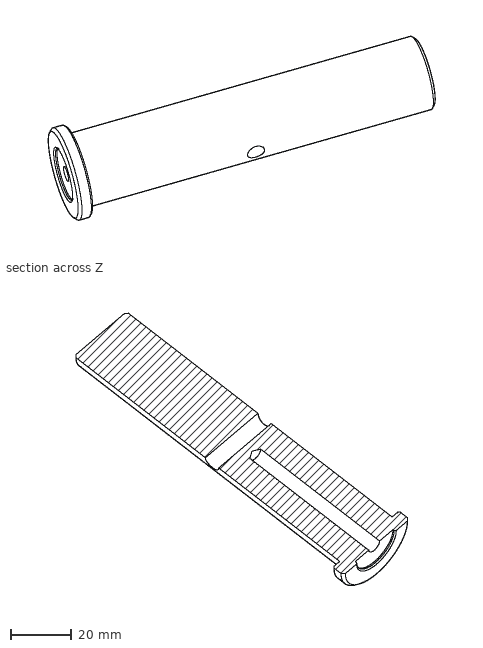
import cadquery as cq
import math

length = 127.0
head_diameter = 32.0
head_thickness = 5.0
shank_diameter = 25.4
head_front_chamfer = 1.0
head_back_chamfer = 0.6
shank_end_chamfer = 1.0

recess_diameter = 18.0
recess_mouth_chamfer = 0.5
recess_depth = 1.0

axial_hole_diameter = 5.1
axial_hole_end = 57.2
drill_point_angle = 118.0
cross_hole_diameter = 6.0

head_face = -length / 2
shank_end = length / 2


def revolve_about_y(profile):
    """Turn a closed half profile in the XY plane around the Y axis."""
    return cq.Workplane("XY").polyline(profile).close().revolve(360, (0, 0, 0), (0, 1, 0))


def make_body():
    """Chamfered head and shank."""
    head_radius = head_diameter / 2
    shank_radius = shank_diameter / 2
    head_back = head_face + head_thickness
    return revolve_about_y([
        (0, head_face),
        (head_radius - head_front_chamfer, head_face),
        (head_radius, head_face + head_front_chamfer),
        (head_radius, head_back - head_back_chamfer),
        (head_radius - head_back_chamfer, head_back),
        (shank_radius, head_back),
        (shank_radius, shank_end - shank_end_chamfer),
        (shank_radius - shank_end_chamfer, shank_end),
        (0, shank_end),
    ])


def make_recess():
    """Cutter for the chamfered recess in the head face."""
    recess_radius = recess_diameter / 2
    recess_floor = head_face + recess_depth
    return revolve_about_y([
        (0, head_face),
        (recess_radius + recess_mouth_chamfer, head_face),
        (recess_radius, head_face + recess_mouth_chamfer),
        (recess_radius, recess_floor),
        (0, recess_floor),
    ])


def make_axial_hole():
    """Cutter for the blind hole with a conical drill point."""
    radius = axial_hole_diameter / 2
    point_length = radius / math.tan(math.radians(drill_point_angle / 2))
    point_tip = head_face + axial_hole_end
    return revolve_about_y([
        (0, head_face),
        (radius, head_face),
        (radius, point_tip - point_length),
        (0, point_tip),
    ])


def make_cross_hole():
    """Cutter for the hole through the shank along X at mid-length."""
    return cq.Workplane("YZ").circle(cross_hole_diameter / 2).extrude(shank_diameter, both=True)


result = make_body().cut(make_recess()).cut(make_axial_hole()).cut(make_cross_hole())